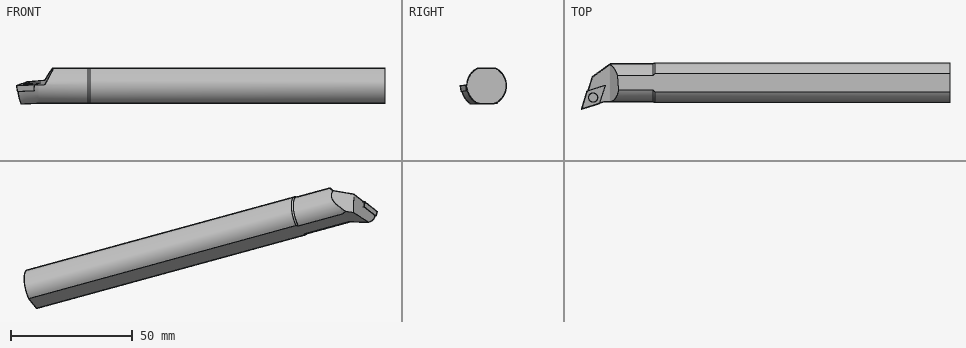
import cadquery as cq
import math

LENGTH = 151.2
SHANK_RADIUS = 8.2
FLAT_HEIGHT = 7.3
HEAD_RADIUS = 7.9
CONE_START = 29.3
CONE_END = 30.1
NECK_START = 9.2

TIP_Y = -10.9
RAKE_ANGLE = 7.0
INSERT_RELIEF = 7.0
NOSE_RELIEF = 2.0
NOSE_SETBACK = 0.3
NOSE_TOE_X = 2.0
NOSE_BOTTOM = 7.5
NOSE_CORNER_DISTANCE = 13.9
BACK_FACE_ANGLE = 36.0

WALL_START = 11.6
WALL_ANGLE = 30.0
WALL_FILLET = 0.8
CLEARANCE = 30.2

INSERT_SIDE = 7.7
INSERT_THICKNESS = 2.4
HOLE_DIAMETER = 3.8
HOLE_DEPTH = 0.3
LEADING_EDGE_ANGLE = 17.5
SIDE_EDGE_ANGLE = 72.5


def along(start, angle, distance):
    """Point at a distance from start, in the direction of angle."""
    turn = math.radians(angle)
    return (start[0] + distance * math.cos(turn), start[1] + distance * math.sin(turn))


def rod(radius, start, end):
    return cq.Workplane("YZ").workplane(offset=start).circle(radius).extrude(end - start)


def rake(shape):
    """Tilt a shape about the X-parallel line through the cutting tip."""
    return shape.rotate((0, TIP_Y, 0), (1, TIP_Y, 0), RAKE_ANGLE)


def relieved_prism(outline, relief):
    """Prism that has the outline at axis height and narrows downward."""
    upper = cq.Workplane("XY").polyline(outline).close().extrude(NOSE_BOTTOM, taper=-relief)
    lower = cq.Workplane("XY").polyline(outline).close().extrude(-NOSE_BOTTOM, taper=relief)
    return upper.union(lower)


def make_insert():
    """Rhombic insert, its top flush with the seat face."""
    tip = (0, TIP_Y)
    heel = along(tip, LEADING_EDGE_ANGLE, INSERT_SIDE)
    far = along(heel, SIDE_EDGE_ANGLE, INSERT_SIDE)
    side = along(tip, SIDE_EDGE_ANGLE, INSERT_SIDE)
    slab = (
        cq.Workplane("XY", origin=(0, TIP_Y, 0))
        .rect(2 * CLEARANCE, 2 * CLEARANCE)
        .extrude(-INSERT_THICKNESS)
    )
    return relieved_prism([tip, heel, far, side], INSERT_RELIEF).intersect(rake(slab))


def make_screw_recess():
    """Cutter at the insert's centre, square to the seat face."""
    diagonal_angle = (LEADING_EDGE_ANGLE + SIDE_EDGE_ANGLE) / 2
    half_opening = (SIDE_EDGE_ANGLE - LEADING_EDGE_ANGLE) / 2
    half_diagonal = INSERT_SIDE * math.cos(math.radians(half_opening))
    centre = along((0, TIP_Y), diagonal_angle, half_diagonal)
    hole = cq.Workplane("XY").center(*centre).circle(HOLE_DIAMETER / 2).extrude(-HOLE_DEPTH)
    return rake(hole)


def cone(start, start_radius, end, end_radius):
    return (
        cq.Workplane("YZ").workplane(offset=start).circle(start_radius)
        .workplane(offset=end - start).circle(end_radius).loft()
    )


def make_bar():
    """Shank, step cone, neck and flared nose, with flats above and below."""
    shank = rod(SHANK_RADIUS, CONE_END, LENGTH)
    step = cone(CONE_START, HEAD_RADIUS, CONE_END, SHANK_RADIUS)
    neck = rod(HEAD_RADIUS, NECK_START, CONE_START)
    nose = cone(0, -TIP_Y - NOSE_SETBACK, NECK_START, HEAD_RADIUS)
    flats = (
        cq.Workplane("XZ")
        .polyline([
            (0, FLAT_HEIGHT), (LENGTH, FLAT_HEIGHT), (LENGTH, -FLAT_HEIGHT),
            (NECK_START, -FLAT_HEIGHT), (NOSE_TOE_X, -NOSE_BOTTOM), (0, -NOSE_BOTTOM),
        ])
        .close()
        .extrude(CLEARANCE, both=True)
    )
    return shank.union(step).union(neck).union(nose).intersect(flats)


def make_nose_limits():
    """Space kept by the nose's side face and back face."""
    beside_tip = (NOSE_SETBACK, TIP_Y)
    before_tip = along(beside_tip, SIDE_EDGE_ANGLE, -CLEARANCE)
    corner = along(beside_tip, SIDE_EDGE_ANGLE, NOSE_CORNER_DISTANCE)
    back = along(corner, BACK_FACE_ANGLE, CLEARANCE)
    outline = [before_tip, (2 * LENGTH, before_tip[1]), (2 * LENGTH, back[1]), back, corner]
    return relieved_prism(outline, NOSE_RELIEF)


def make_clearance():
    """Block above the seat face, ending in a leaning wall."""
    wall_run = CLEARANCE * math.tan(math.radians(WALL_ANGLE))
    block = (
        cq.Workplane("XZ", origin=(0, TIP_Y, 0))
        .moveTo(-CLEARANCE, 0)
        .lineTo(WALL_START, 0)
        .lineTo(WALL_START + wall_run, CLEARANCE)
        .lineTo(-CLEARANCE, CLEARANCE)
        .close()
        .extrude(CLEARANCE, both=True)
    )
    block = block.edges(cq.selectors.NearestToPointSelector((WALL_START, TIP_Y, 0)))
    return rake(block.fillet(WALL_FILLET))


insert_blank = make_insert()
holder = make_bar().intersect(make_nose_limits()).cut(make_clearance()).cut(insert_blank)
insert = insert_blank.cut(make_screw_recess())

result = cq.Compound.makeCompound([holder.val(), insert.val()])